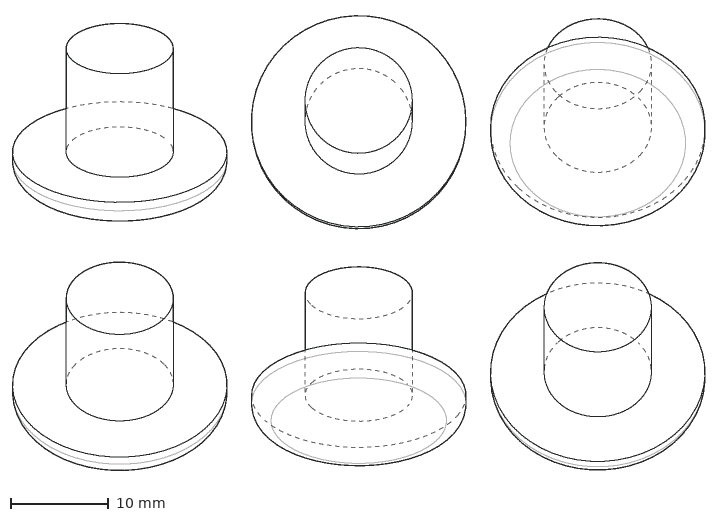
import cadquery as cq

total_height = 15.0
head_diameter = 22.0
head_thickness = 3.0
head_edge_radius = 2.0
shank_diameter = head_diameter / 2


def make_head():
    """Round head resting on Z = 0, with its lower rim rounded."""
    disc = cq.Workplane("XY").circle(head_diameter / 2).extrude(head_thickness)
    return disc.faces("<Z").edges().fillet(head_edge_radius)


def make_shank():
    """Plain cylinder running up through the head's axis to the full height."""
    return cq.Workplane("XY").circle(shank_diameter / 2).extrude(total_height)


result = make_head().union(make_shank())